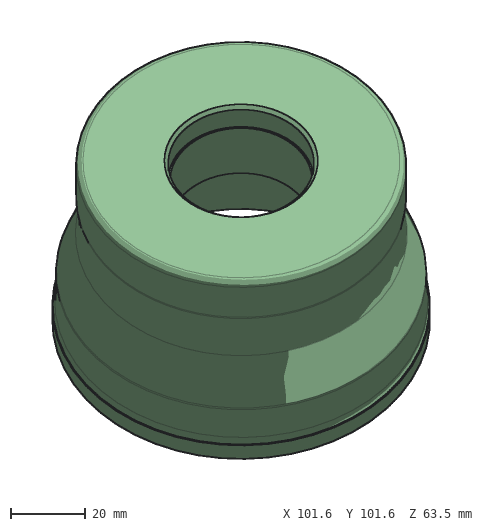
import cadquery as cq

height = 63.5
flange_radius = 50.8

flange_height = 5.9
flange_lip = 0.2
flange_foot_round = 0.5

skirt_foot_z = 8.3
skirt_foot_radius = 50.2
skirt_top_z = 19.2
skirt_top_radius = 49.8
skirt_flare_radius = flange_radius - flange_lip
shoulder_round = 2.0

cone_top_z = 34.7
cone_top_radius = 44.6
neck_z = 42.7
neck_radius = 43.6

head_radius = 44.4
head_bottom_z = 49.5
head_top_round = 1.8
head_lower_round = 2.5

bore_radius = 19.6
bore_chamfer = 1.0
liner_inner_radius = 19.1
liner_top_z = height - 7.8
liner_bottom_z = height - 25.7
cavity_mouth_radius = 40.6


def circles_at(body, z, radius):
    """Select the circular edges of one radius at one height."""
    tolerance = 0.01
    reach = radius + tolerance
    box = cq.selectors.BoxSelector(
        (-reach, -reach, z - tolerance), (reach, reach, z + tolerance), boundingbox=True
    )
    inner = radius - tolerance
    inner_box = cq.selectors.BoxSelector(
        (-inner, -inner, z - tolerance), (inner, inner, z + tolerance), boundingbox=True
    )
    return body.edges(box - inner_box)


def make_housing_blank():
    """Revolve the half section: foot flange, skirt, cone, neck, head and bore."""
    profile = (
        cq.Workplane("XZ")
        .moveTo(cavity_mouth_radius, 0)
        .lineTo(flange_radius, 0)
        .lineTo(flange_radius, flange_height - flange_lip)
        .lineTo(skirt_flare_radius, flange_height)
        .threePointArc(
            (skirt_foot_radius + (skirt_flare_radius - skirt_foot_radius) / 4, (flange_height + skirt_foot_z) / 2),
            (skirt_foot_radius, skirt_foot_z),
        )
        .lineTo(skirt_top_radius, skirt_top_z)
        .lineTo(cone_top_radius, cone_top_z)
        .threePointArc((neck_radius, neck_z), (head_radius, head_bottom_z))
        .lineTo(head_radius, height)
        .lineTo(bore_radius, height)
        .lineTo(bore_radius, liner_bottom_z)
        .close()
    )
    return profile.revolve(360, (0, 0, 0), (0, 1, 0))


def make_housing():
    """Blank with its edges rounded and the mouth of the bore chamfered."""
    body = make_housing_blank()
    body = circles_at(body, height, bore_radius).chamfer(bore_chamfer)
    body = circles_at(body, height, head_radius).fillet(head_top_round)
    body = circles_at(body, head_bottom_z, head_radius).fillet(head_lower_round)
    body = circles_at(body, skirt_top_z, skirt_top_radius).fillet(shoulder_round)
    body = circles_at(body, 0, flange_radius).fillet(flange_foot_round)
    return body


def make_liner():
    """Thin sleeve seated in the bore."""
    base = cq.Workplane("XY").workplane(offset=liner_bottom_z)
    return base.circle(bore_radius).circle(liner_inner_radius).extrude(liner_top_z - liner_bottom_z)


housing = make_housing()
liner = make_liner()
result = cq.Compound.makeCompound([housing.val(), liner.val()])